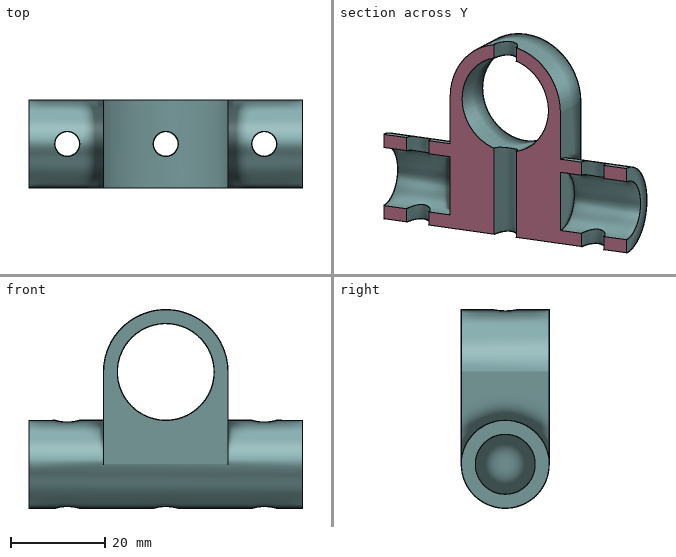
import cadquery as cq

tube_length = 58.0
tube_diameter = 18.7
socket_diameter = 12.7
wall = (tube_diameter - socket_diameter) / 2

eye_bore_diameter = 20.5
eye_width = eye_bore_diameter + 2 * wall
eye_height = (tube_diameter + eye_bore_diameter) / 2

socket_depth = (tube_length - eye_width) / 2

screw_diameter = 5.2
screw_spacing = 20.9
screw_positions = [(-screw_spacing, 0), (0, 0), (screw_spacing, 0)]


def cylinder_along_x(diameter, length, start):
    return cq.Workplane("YZ", origin=(start, 0, 0)).circle(diameter / 2).extrude(length)


def make_eye():
    """Round-topped block as deep as the tube, standing on the tube axis."""
    half_width = eye_width / 2
    return (
        cq.Workplane("XZ")
        .moveTo(-half_width, 0)
        .lineTo(half_width, 0)
        .lineTo(half_width, eye_height)
        .threePointArc((0, eye_height + half_width), (-half_width, eye_height))
        .close()
        .extrude(tube_diameter / 2, both=True)
    )


body = cylinder_along_x(tube_diameter, tube_length, -tube_length / 2).union(make_eye())

eye_bore = (
    cq.Workplane("XZ")
    .center(0, eye_height)
    .circle(eye_bore_diameter / 2)
    .extrude(tube_diameter, both=True)
)
body = body.cut(eye_bore)

for socket_start in (-tube_length / 2, tube_length / 2 - socket_depth):
    body = body.cut(cylinder_along_x(socket_diameter, socket_depth, socket_start))

screw_holes = (
    cq.Workplane("XY", origin=(0, 0, -tube_diameter / 2))
    .pushPoints(screw_positions)
    .circle(screw_diameter / 2)
    .extrude(tube_diameter + eye_height + eye_width)
)
result = body.cut(screw_holes)